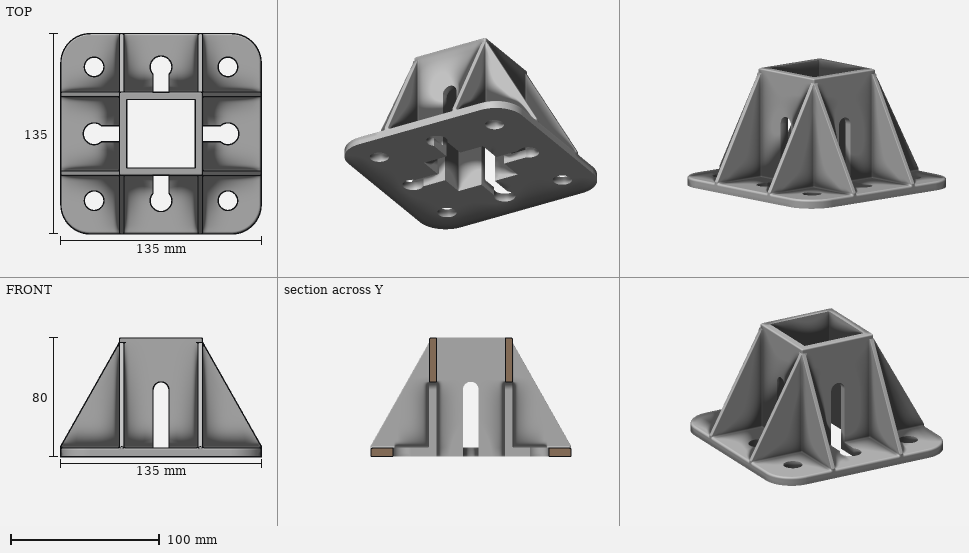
import cadquery as cq
import math

plate_side = 135.0
plate_thickness = 6.0
plate_corner_radius = 20.0
rim_radius = 1.5
half_plate = plate_side / 2
rim_start = half_plate - rim_radius
rim_foot = plate_thickness - rim_radius

socket_height = 80.0
socket_bore = 46.0
socket_wall = 5.0
socket_side = socket_bore + 2 * socket_wall
half_socket = socket_side / 2
socket_edge_radius = 1.0
socket_lip = 3.0

rib_thickness = 3.0
rib_top = socket_height - socket_lip
rib_toe_height = 7.0
rib_toe_radius = 1.0
rib_edge_radius = 0.5
rib_middle = half_socket - rib_thickness / 2
bay_half_width = half_socket - rib_thickness

root_radius = 1.0

hole_offset = 45.0
corner_hole_diameter = 13.0
keyhole_diameter = 14.5
slot_width = 10.5
slot_arch_height = 45.0

side_angles = (0, 90, 180, 270)


def turned(shape, angle):
    """Copy of a shape turned about the socket axis."""
    return shape.rotate((0, 0, 0), (0, 0, 1), angle)


def box_between(low, high):
    """Axis-aligned box between two opposite corners."""
    size = [b - a for a, b in zip(low, high)]
    return cq.Workplane("XY").box(*size, centered=False).translate(low)


def make_plate():
    """Square plate with round corners and a rounded upper rim."""
    plate = cq.Workplane("XY").rect(plate_side, plate_side).extrude(plate_thickness)
    plate = plate.edges("|Z").fillet(plate_corner_radius)
    return plate.faces(">Z").edges().fillet(rim_radius)


def make_socket():
    """Solid square column, bored out later, with rounded upright and top edges."""
    socket = cq.Workplane("XY").rect(socket_side, socket_side).extrude(socket_height)
    return socket.edges("|Z or >Z").fillet(socket_edge_radius)


def make_rib_blank(width):
    """Rib profile in the XZ plane, pointing to +X, thickened evenly about Y = 0."""
    profile = [
        (0, 0),
        (half_plate, 0),
        (half_plate, rib_toe_height),
        (half_socket, rib_top),
        (0, rib_top),
    ]
    return cq.Workplane("XZ").polyline(profile).close().extrude(width / 2, both=True)


def make_rib():
    """One rib with a rounded toe and rounded sloping edges, cut off at the foot of the rim."""
    rib_space = box_between((0, -rib_thickness, rim_foot), (half_plate, rib_thickness, rib_top))
    rib = make_rib_blank(rib_thickness).intersect(rib_space)
    rib = rib.edges("|Z and >X").fillet(rib_toe_radius)
    slope = cq.Vector(half_plate - half_socket, 0, rib_toe_height - rib_top)
    return rib.edges(cq.selectors.ParallelDirSelector(slope)).fillet(rib_edge_radius)


def make_rim_root():
    """Foot of a rib toe, where the rounded rim of the plate climbs the rounded rib root."""
    half_foot = rib_thickness / 2 + root_radius
    root_top = plate_thickness + root_radius
    foot = box_between((rim_start, -half_foot, rim_foot), (half_plate, half_foot, root_top))
    foot = foot.intersect(make_rib_blank(2 * half_foot))
    flare_radius = root_radius + rim_radius
    rim_middle = rim_radius * math.sqrt(0.5)
    flare = (
        cq.Workplane("XY")
        .moveTo(rim_start, 0)
        .lineTo(rim_start, root_radius)
        .threePointArc((rim_start + rim_middle, flare_radius - rim_middle), (half_plate, flare_radius))
        .lineTo(half_plate, 0)
        .close()
        .revolve(360, (0, 0, 0), (1, 0, 0))
    )
    for side in (-half_foot, half_foot):
        foot = foot.cut(flare.translate((0, side, root_top)))
    return foot


def round_bay(bay_low, bay_high, hollow_high):
    """Corner material of a bay left around a round-edged hollow that reaches past its open sides."""
    hollow = box_between(bay_low, hollow_high).edges().fillet(root_radius)
    return box_between(bay_low, bay_high).cut(hollow).intersect(make_rib_blank(plate_side))


def make_middle_roots():
    """Rounded inside corners of the bay between the two ribs on the +X face."""
    low = (half_socket, -bay_half_width, plate_thickness)
    high = (rim_start, bay_half_width, rib_top)
    hollow_high = (plate_side, bay_half_width, plate_side)
    return round_bay(low, high, hollow_high)


def make_corner_roots():
    """Rounded inside corners of the bay at the +X +Y plate corner."""
    low = (half_socket, half_socket, plate_thickness)
    high = (rim_start, rim_start, rib_top)
    hollow_high = (plate_side, plate_side, plate_side)
    roots = round_bay(low, high, hollow_high)
    return roots.intersect(turned(make_rib_blank(plate_side), 90))


def make_keyhole():
    """Cutter for the +X side: plate keyhole joined to a round-topped slot in the socket wall."""
    half_slot = slot_width / 2
    entry = cq.Workplane("XY").center(hole_offset, 0).circle(keyhole_diameter / 2).extrude(plate_thickness)
    neck = box_between((0, -half_slot, 0), (hole_offset, half_slot, plate_thickness + root_radius))
    wall_slot = box_between((0, -half_slot, 0), (half_socket + root_radius, half_slot, slot_arch_height))
    wall_arch = cq.Workplane("YZ").center(0, slot_arch_height).circle(half_slot).extrude(half_socket)
    return entry.union(neck).union(wall_slot).union(wall_arch)


def cut_openings(body):
    """Bore the socket and cut the corner holes and keyholes."""
    bore = cq.Workplane("XY").rect(socket_bore, socket_bore).extrude(socket_height)
    corner_holes = (
        cq.Workplane("XY")
        .rect(2 * hole_offset, 2 * hole_offset, forConstruction=True)
        .vertices()
        .circle(corner_hole_diameter / 2)
        .extrude(plate_thickness)
    )
    body = body.cut(bore).cut(corner_holes)
    for angle in side_angles:
        body = body.cut(turned(make_keyhole(), angle))
    return body


def make_part():
    """Plate and socket, with ribs and rounded roots on all four sides, then the openings."""
    body = make_plate().union(make_socket())
    for angle in side_angles:
        body = body.union(turned(make_middle_roots(), angle))
        body = body.union(turned(make_corner_roots(), angle))
        for offset in (-rib_middle, rib_middle):
            body = body.union(turned(make_rib().translate((0, offset, 0)), angle))
            body = body.union(turned(make_rim_root().translate((0, offset, 0)), angle))
    return cut_openings(body.clean())


result = make_part().solids()